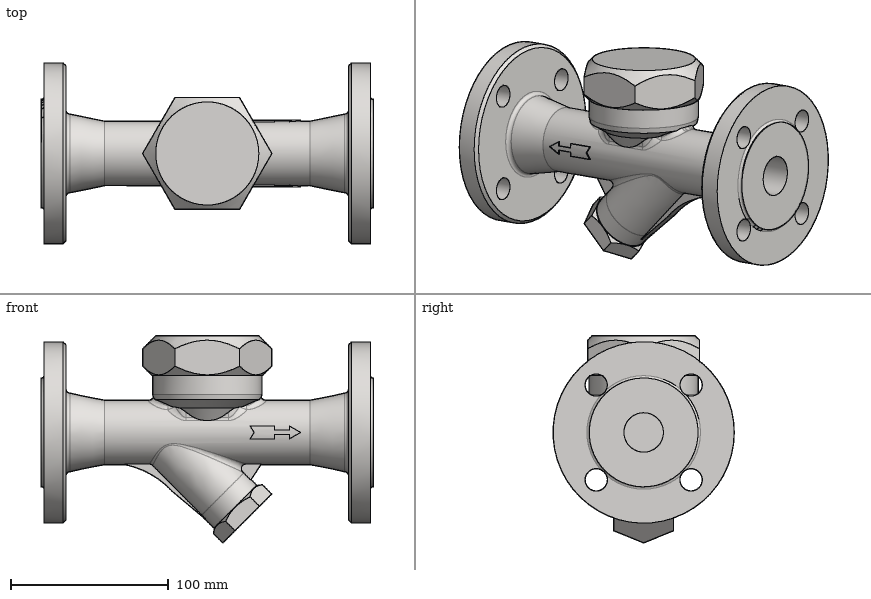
import cadquery as cq
import math

total_length = 211.0
end_x = total_length / 2
tolerance = 0.01

pipe_radius = 20.5
hub_radius = 25.0
hub_start = 65.0
hub_fillet = 2.5

flange_diameter = 115.0
flange_thickness = 14.0
flange_chamfer = 2.0
raised_face_radius = 34.5
raised_face_height = 2.0
raised_face_fillet = 1.5
bolt_circle_diameter = 85.0
bolt_hole_diameter = 14.0
bolt_count = 4
bore_diameter = 25.0

cap_flats = 71.0
cap_top = 61.3
cap_bottom = 36.0
cap_top_radius = 32.7
cap_bottom_radius = 35.0
collar_radius = 69.5 / 2
collar_bottom = 24.2

neck_lip_radius = 34.0
neck_lip_bottom = 20.8
neck_radius = 25.0
neck_bottom = 15.5
neck_root_radius = 19.0
neck_root = 7.5

long_pad = (33.5, 13.5, 9.0, 3.8)
wide_pad = (23.5, 18.7, 10.0, 5.5)

branch_angle = 45.0
branch_start_x = -29.2
branch_radius = 19.25
branch_root_radius = 19.0
branch_taper_end = 55.2
branch_length = 66.5
branch_fillet = 3.0
plug_flats = 38.0
plug_end = 77.2
plug_chamfer_radius = 18.8
plug_chamfer_length = 2.2

web_thickness = 8.0
web_overlap = 5.0
rear_web_start = (-52.0, -pipe_radius)
rear_web_middle = (-36.5, -26.2)
rear_web_arc_end = (-22.0, -37.6)
rear_web_end = (-1.0, -55.2)
front_web_top = (34.0, -pipe_radius)
front_web_bottom = (27.5, -30.5)

arrow_height = 0.8
arrow_tail_x = 27.2
arrow_notch = 2.5
arrow_tail_end_x = 42.5
arrow_head_x = 52.0
arrow_tip_x = 59.2
arrow_half_width = 4.1
arrow_shaft_half_width = 1.4


def corner_radius(across_flats):
    """Radius of the circle through the corners of a hexagon."""
    return across_flats / (2 * math.cos(math.radians(30)))


def revolve_about_z(points):
    """Solid of revolution about Z from (radius, height) points."""
    return cq.Workplane("XZ").polyline(points).close().revolve(360, (0, 0), (0, 1))


def make_pipe_end():
    """Hub, flange and raised face of the +X end."""
    face_x = end_x - raised_face_height
    back_x = face_x - flange_thickness
    rim = flange_diameter / 2
    arc_offset = 1 - math.sqrt(0.5)
    hub_arc = (back_x - hub_fillet * arc_offset, hub_radius + hub_fillet * arc_offset)
    face_arc = (
        face_x + raised_face_fillet * arc_offset,
        raised_face_radius + raised_face_fillet * arc_offset,
    )
    profile = (
        cq.Workplane("XY")
        .moveTo(hub_start, 0)
        .lineTo(hub_start, pipe_radius)
        .lineTo(back_x - hub_fillet, hub_radius)
        .threePointArc(hub_arc, (back_x, hub_radius + hub_fillet))
        .lineTo(back_x, rim - flange_chamfer)
        .lineTo(back_x + flange_chamfer, rim)
        .lineTo(face_x, rim)
        .lineTo(face_x, raised_face_radius + raised_face_fillet)
        .threePointArc(face_arc, (face_x + raised_face_fillet, raised_face_radius))
        .lineTo(end_x, raised_face_radius)
        .lineTo(end_x, 0)
        .close()
    )
    return profile.revolve(360, (0, 0), (1, 0))


def make_pipe():
    """Straight pipe between the two hubs."""
    return cq.Workplane("YZ").circle(pipe_radius).extrude(hub_start, both=True).clean()


def add_branch(pipe):
    """Branch body that narrows slightly towards the pipe and blends into it."""
    branch = revolve_about_z([
        (0, 0),
        (branch_root_radius, 0),
        (branch_radius, branch_taper_end),
        (branch_radius, branch_length),
        (0, branch_length),
    ])
    joined = pipe.union(place_on_branch(branch))
    seam = [edge for edge in joined.edges().vals() if edge.geomType() == "BSPLINE"]
    return joined.newObject(seam).fillet(branch_fillet)


def lies_on_pipe_top(edge):
    box = edge.BoundingBox()
    return box.zmin > 0 and box.zmax < pipe_radius + tolerance


def add_pad(body, half_length, half_width, corner, blend):
    """Rounded pad under the collar, blended into the top of the pipe."""
    pad = (
        cq.Workplane("XY")
        .rect(2 * half_length, 2 * half_width)
        .extrude(collar_bottom)
        .edges("|Z")
        .fillet(corner)
    )
    joined = body.union(pad)
    seam = [edge for edge in joined.edges().vals() if lies_on_pipe_top(edge)]
    return joined.newObject(seam).fillet(blend)


def make_neck():
    return revolve_about_z([
        (0, 0),
        (neck_root_radius, 0),
        (neck_root_radius, neck_root),
        (neck_radius, neck_bottom),
        (neck_lip_radius, neck_lip_bottom),
        (collar_radius, collar_bottom),
        (0, collar_bottom),
    ])


def make_cap():
    """Hexagonal cap with both ends turned to 45 degree cones, on its collar."""
    corner = corner_radius(cap_flats)
    hexagon = (
        cq.Workplane("XY", origin=(0, 0, cap_bottom))
        .polygon(6, 2 * corner)
        .extrude(cap_top - cap_bottom)
    )
    turned = revolve_about_z([
        (0, cap_bottom),
        (cap_bottom_radius, cap_bottom),
        (corner, cap_bottom + corner - cap_bottom_radius),
        (corner, cap_top - corner + cap_top_radius),
        (cap_top_radius, cap_top),
        (0, cap_top),
    ])
    collar = (
        cq.Workplane("XY", origin=(0, 0, collar_bottom))
        .circle(collar_radius)
        .extrude(cap_bottom - collar_bottom)
    )
    return hexagon.intersect(turned).union(collar)


def place_on_branch(solid):
    """Move a solid built along +Z onto the branch axis."""
    tilted = solid.rotate((0, 0, 0), (0, 1, 0), 90 + branch_angle)
    return tilted.translate((branch_start_x, 0, 0))


def make_plug():
    """Hexagonal plug with a chamfered inner end."""
    corner = corner_radius(plug_flats)
    hexagon = (
        cq.Workplane("XY", origin=(0, 0, branch_length))
        .polygon(6, 2 * corner)
        .extrude(plug_end - branch_length)
    )
    turned = revolve_about_z([
        (0, branch_length),
        (plug_chamfer_radius, branch_length),
        (corner, branch_length + plug_chamfer_length),
        (corner, plug_end),
        (0, plug_end),
    ])
    return place_on_branch(hexagon.intersect(turned))


def make_webs():
    """Webs in the XZ mid-plane behind and in front of the branch."""
    rear = (
        cq.Workplane("XZ")
        .moveTo(rear_web_start[0], rear_web_start[1] + web_overlap)
        .lineTo(*rear_web_start)
        .threePointArc(rear_web_middle, rear_web_arc_end)
        .lineTo(*rear_web_end)
        .lineTo(0, rear_web_start[1] + web_overlap)
        .close()
        .extrude(web_thickness / 2, both=True)
    )
    front = (
        cq.Workplane("XZ")
        .moveTo(front_web_top[0], front_web_top[1] + web_overlap)
        .lineTo(*front_web_top)
        .lineTo(*front_web_bottom)
        .lineTo(0, front_web_top[1])
        .lineTo(0, front_web_top[1] + web_overlap)
        .close()
        .extrude(web_thickness / 2, both=True)
    )
    return rear.union(front)


def make_arrows():
    """Flow arrows pointing to +X, raised by a constant height off the pipe."""
    upper = [
        (arrow_tail_x, arrow_half_width),
        (arrow_tail_end_x, arrow_half_width),
        (arrow_tail_end_x, arrow_shaft_half_width),
        (arrow_head_x, arrow_shaft_half_width),
        (arrow_head_x, arrow_half_width),
    ]
    lower = [(x, -z) for x, z in reversed(upper)]
    outline = upper + [(arrow_tip_x, 0)] + lower + [(arrow_tail_x + arrow_notch, 0)]
    sleeve = (
        cq.Workplane("YZ", origin=(arrow_tail_x, 0, 0))
        .circle(pipe_radius + arrow_height)
        .extrude(arrow_tip_x - arrow_tail_x)
    )
    prism = cq.Workplane("XZ").polyline(outline).close().extrude(flange_diameter / 2, both=True)
    return sleeve.intersect(prism)


def cut_flange_holes(body):
    """Bolt holes through both flanges and a blind bore from each end."""
    bolts = (
        cq.Workplane("YZ", origin=(-end_x, 0, 0))
        .polarArray(bolt_circle_diameter / 2, 180 / bolt_count, 360, bolt_count)
        .circle(bolt_hole_diameter / 2)
        .extrude(raised_face_height + flange_thickness)
    )
    bore = (
        cq.Workplane("YZ", origin=(-end_x, 0, 0))
        .circle(bore_diameter / 2)
        .extrude(end_x - hub_start)
    )
    cutter = bolts.union(bore)
    return body.cut(cutter).cut(cutter.mirror("YZ"))


body = add_branch(make_pipe())
for pad_sizes in (long_pad, wide_pad):
    body = add_pad(body, *pad_sizes)
for part in (make_neck(), make_cap(), make_plug(), make_webs(), make_arrows()):
    body = body.union(part)
pipe_end = make_pipe_end()
body = body.union(pipe_end).union(pipe_end.mirror("YZ"))
result = cut_flange_holes(body)